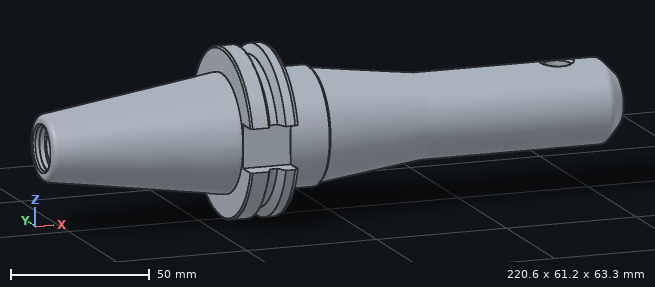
import cadquery as cq
import math

length = 220.6
taper_end = 68.0
flange_start = 69.3
flange_end = 87.5
collar_end = 103.5
neck_end = 144.3

gauge_dia = 44.4
flange_dia = 63.3
shank_dia = 31.8
neck_start_dia = 42.4
taper_ratio = 7 / 24
nose_dia = gauge_dia - taper_end * taper_ratio

nose_round = 2.2
flange_chamfer = 0.7
flange_back_chamfer_length = 1.3
collar_chamfer_length = 0.9
shank_chamfer = 6.2
tip_round = 1.3
shoulder_round = 2.2

groove_centre = 79.5
groove_width = 6.6
groove_floor_width = 2.9
groove_floor_dia = 56.0

slot_width = 16.3
slot_floor_front = 22.3
slot_floor_back = 25.0

bore_dia = 12.8
step_dia = 16.3
step_depth = 4.2
recess_dia = 16.8
recess_depth = 2.2
recess_mouth_dia = 18.0

screw_x = 198.4
screw_dia = 9.7
screw_mouth_dia = 12.8
countersink_angle = 120


def make_body():
    """Turned outer shape: taper, flange, collar, neck and shank."""
    outline = [
        (0, 0),
        (0, nose_dia / 2),
        (taper_end, gauge_dia / 2),
        (flange_start, gauge_dia / 2),
        (flange_start, flange_dia / 2 - flange_chamfer),
        (flange_start + flange_chamfer, flange_dia / 2),
        (groove_centre - groove_width / 2, flange_dia / 2),
        (groove_centre - groove_floor_width / 2, groove_floor_dia / 2),
        (groove_centre + groove_floor_width / 2, groove_floor_dia / 2),
        (groove_centre + groove_width / 2, flange_dia / 2),
        (flange_end - flange_back_chamfer_length, flange_dia / 2),
        (flange_end, flange_dia / 2 - flange_chamfer),
        (flange_end, gauge_dia / 2),
        (collar_end - collar_chamfer_length, gauge_dia / 2),
        (collar_end, neck_start_dia / 2),
        (neck_end, shank_dia / 2),
        (length - shank_chamfer, shank_dia / 2),
        (length, shank_dia / 2 - shank_chamfer),
        (length, 0),
    ]
    body = cq.Workplane("XY").polyline(outline).close().revolve(360, (0, 0, 0), (1, 0, 0))
    body = body.faces("<X").edges().fillet(nose_round)
    body = body.faces(">X").edges().fillet(tip_round)
    shoulder = cq.selectors.BoxSelector(
        (length - shank_chamfer - 0.2, -shank_dia, -shank_dia),
        (length - shank_chamfer + 0.2, shank_dia, shank_dia),
        boundingbox=True,
    )
    return body.edges(shoulder).fillet(shoulder_round)


def make_slot(side, floor):
    """Driving slot cutter on one side of the flange; side is -1 or 1 along Y."""
    slot_length = flange_end - flange_start
    depth = flange_dia / 2 - floor
    slot = cq.Workplane("XY").box(slot_length, depth, slot_width)
    return slot.translate((flange_start + slot_length / 2, side * (floor + depth / 2), 0))


def make_bore():
    """Through bore with a two-step recess at the taper end."""
    mouth_chamfer = (recess_mouth_dia - recess_dia) / 2
    outline = [
        (0, 0),
        (0, recess_mouth_dia / 2),
        (mouth_chamfer, recess_dia / 2),
        (recess_depth, recess_dia / 2),
        (recess_depth, step_dia / 2),
        (step_depth, step_dia / 2),
        (step_depth, bore_dia / 2),
        (length, bore_dia / 2),
        (length, 0),
    ]
    return cq.Workplane("XY").polyline(outline).close().revolve(360, (0, 0, 0), (1, 0, 0))


def make_screw_hole():
    """Radial hole from the top of the shank into the bore, countersunk at its mouth."""
    top = shank_dia / 2
    countersink_width = (screw_mouth_dia - screw_dia) / 2
    countersink_depth = countersink_width / math.tan(math.radians(countersink_angle / 2))
    outline = [
        (0, 0),
        (screw_dia / 2, 0),
        (screw_dia / 2, top - countersink_depth),
        (screw_mouth_dia / 2, top),
        (0, top),
    ]
    hole = cq.Workplane("XZ").polyline(outline).close().revolve(360, (0, 0, 0), (0, 1, 0))
    return hole.translate((screw_x, 0, 0))


result = (
    make_body()
    .cut(make_slot(-1, slot_floor_front))
    .cut(make_slot(1, slot_floor_back))
    .cut(make_bore())
    .cut(make_screw_hole())
)